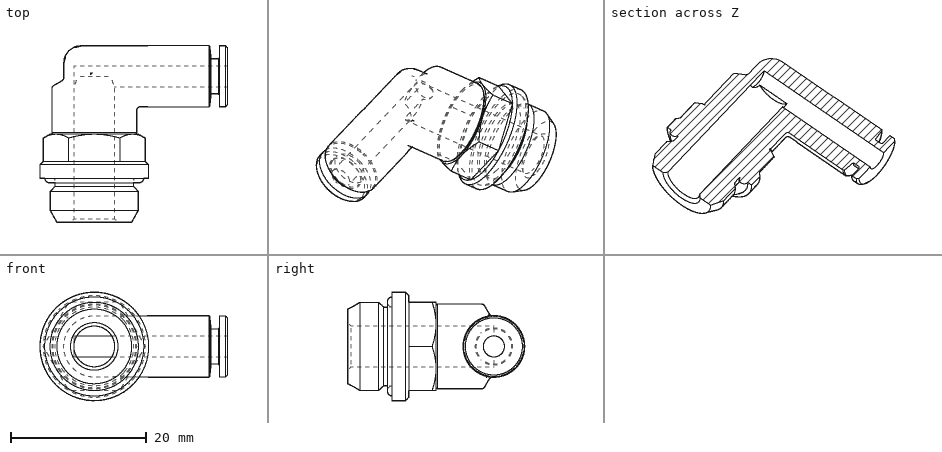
import cadquery as cq
import math


elbow_radius = 4.5
elbow_corner_fillet = 2.5
elbow_end_x = 7.75
corner_cap_height = 0.03
corner_fillet_half_height = elbow_radius - corner_cap_height

arm_radius = 4.55
arm_start_x = 8.0
arm_end_x = 17.0
arm_chamfer = 0.15
arm_face_rise = 0.2

collar_neck_radius = 2.6
collar_flange_radius = 4.5
collar_flange_start_x = 18.4
collar_end_x = 19.6
collar_flange_chamfer = 0.3
collar_root_chamfer = 0.15

body_radius = 6.25
body_taper_y = -8.3
shoulder_slope = math.tan(math.radians(30))
shoulder_top_y = -0.5
shoulder_rim_y = shoulder_top_y - (body_radius - elbow_radius) * shoulder_slope
blend_radius = 0.5
selection_margin = 0.05
body_bottom_radius = 6.1

hex_sides = 6
hex_across_flats = 13.0
hex_corner_radius = hex_across_flats / 2 / math.cos(math.pi / hex_sides)
hex_top_y = -8.5
hex_bevel_slope = math.tan(math.radians(30))

flange_radius = 8.0
flange_top_y = -12.5
flange_bottom_y = -15.0
flange_chamfer = 0.5

neck_radius = 5.8
neck_bottom_y = -16.2
ring_section_radius = 0.75
ring_center_radius = neck_radius + ring_section_radius
ring_center_y = -14.93
thread_radius = 6.5
thread_top_y = -16.95
thread_tip_start_y = -19.7
thread_tip_y = -21.5
thread_tip_radius = 5.5

stem_bore_radius = 3.0
stem_bore_chamfer = 0.5
arm_bore_radius = 1.55


def turned_about_y(points):
    """Revolve an outline of (radius, y) points about the stem axis."""
    return cq.Workplane("XY").polyline(points).close().revolve(360, (0, 0, 0), (0, 1, 0))


def turned_about_x(points):
    """Revolve an outline of (x, radius) points about the arm axis."""
    return cq.Workplane("XY").polyline(points).close().revolve(360, (0, 0, 0), (1, 0, 0))


def beside_mitre(side):
    """Triangular prism on one side of the mitre plane y = -x: +1 is the arm side, -1 the stem side."""
    size = elbow_end_x
    outline = [(-size, size), (side * size, side * size), (size, -size)]
    return cq.Workplane("XY").polyline(outline).close().extrude(size, both=True)


def make_mitred_tubes():
    """Two tubes meeting in a mitre; the stem tube ends inside the swivel body."""
    length = 2 * elbow_end_x
    arm = cq.Workplane("YZ", origin=(-elbow_end_x, 0, 0)).circle(elbow_radius).extrude(length)
    arm = arm.rotate((0, 0, 0), (1, 0, 0), 180)
    stem = cq.Workplane("XZ", origin=(0, elbow_end_x, 0)).circle(elbow_radius).extrude(length)
    return arm.intersect(beside_mitre(1)).union(stem.intersect(beside_mitre(-1)))


def make_body():
    """Swivel body with a conical shoulder, tapering in slightly where it meets the hexagon."""
    return turned_about_y(
        [
            (0, hex_top_y),
            (body_bottom_radius, hex_top_y),
            (body_radius, body_taper_y),
            (body_radius, shoulder_rim_y),
            (elbow_radius, shoulder_top_y),
            (0, shoulder_top_y),
        ]
    )


def blend_shoulder(elbow_on_body):
    """Round the shoulder rim and fill the joint between the body and the elbow."""
    reach = body_radius + selection_margin
    shoulder_edges = cq.selectors.BoxSelector(
        (-reach, -elbow_radius - selection_margin, -reach),
        (reach, shoulder_top_y + selection_margin, reach),
        boundingbox=True,
    )
    return elbow_on_body.edges(shoulder_edges).fillet(blend_radius)


def round_outer_corner(elbow, tubes):
    """Round the outer mitre edge, setting aside the thin caps where it turns smooth."""
    quadrant = cq.Workplane("XY").box(elbow_radius, elbow_radius, elbow_radius, centered=False)
    upper_block = quadrant.translate((-elbow_radius, 0, corner_fillet_half_height))
    caps = tubes.intersect(upper_block.union(upper_block.mirror("XY")))

    edge_middle = (-elbow_radius, elbow_radius, 0)
    outer_edge = cq.selectors.NearestToPointSelector(edge_middle)
    return elbow.cut(caps).edges(outer_edge).fillet(elbow_corner_fillet).union(caps)


def make_elbow():
    """Elbow and swivel body as one blended solid."""
    tubes = make_mitred_tubes()
    blended = blend_shoulder(tubes.union(make_body()))
    return round_outer_corner(blended, tubes)


def make_tube_arm():
    """Arm sleeve, slightly wider than the elbow, with the release collar at its end."""
    face_x = arm_end_x + arm_face_rise
    return turned_about_x(
        [
            (elbow_end_x, 0),
            (elbow_end_x, elbow_radius),
            (arm_start_x, arm_radius),
            (arm_end_x - arm_chamfer, arm_radius),
            (arm_end_x, arm_radius - arm_chamfer),
            (face_x, collar_neck_radius),
            (collar_flange_start_x - collar_root_chamfer, collar_neck_radius),
            (collar_flange_start_x, collar_neck_radius + collar_root_chamfer),
            (collar_flange_start_x, collar_flange_radius),
            (collar_end_x - collar_flange_chamfer, collar_flange_radius),
            (collar_end_x, collar_flange_radius - collar_flange_chamfer),
            (collar_end_x, 0),
        ]
    )


def make_hexagon():
    """Hexagon with corners on the X axis, its upper corners bevelled by a cone."""
    prism = (
        cq.Workplane("XZ", origin=(0, hex_top_y, 0))
        .polygon(hex_sides, 2 * hex_corner_radius)
        .extrude(hex_top_y - flange_top_y)
    )
    top_radius = hex_across_flats / 2
    bevel_drop = (hex_corner_radius - top_radius) * hex_bevel_slope
    envelope = turned_about_y(
        [
            (0, flange_top_y),
            (hex_corner_radius, flange_top_y),
            (hex_corner_radius, hex_top_y - bevel_drop),
            (top_radius, hex_top_y),
            (0, hex_top_y),
        ]
    )
    return prism.intersect(envelope)


def make_threaded_end():
    """Flange, neck and plain threaded end with a tapered tip."""
    return turned_about_y(
        [
            (0, flange_top_y),
            (flange_radius - flange_chamfer, flange_top_y),
            (flange_radius, flange_top_y - flange_chamfer),
            (flange_radius, flange_bottom_y),
            (neck_radius, flange_bottom_y),
            (neck_radius, neck_bottom_y),
            (thread_radius, thread_top_y),
            (thread_radius, thread_tip_start_y),
            (thread_tip_radius, thread_tip_y),
            (0, thread_tip_y),
        ]
    )


def make_sealing_ring():
    """Round ring seated around the neck, partly sunk into the flange face."""
    return (
        cq.Workplane("XY")
        .center(ring_center_radius, ring_center_y)
        .circle(ring_section_radius)
        .revolve(360, (-ring_center_radius, 0, 0), (-ring_center_radius, 1, 0))
    )


def make_stem_bore():
    """Flat-ended bore from the threaded tip to the arm axis, with a chamfered mouth."""
    return turned_about_y(
        [
            (0, 0),
            (stem_bore_radius, 0),
            (stem_bore_radius, thread_tip_y + stem_bore_chamfer),
            (stem_bore_radius + stem_bore_chamfer, thread_tip_y),
            (0, thread_tip_y),
        ]
    )


def make_arm_bore():
    """Passage along the arm, from the far side of the stem bore out through the collar."""
    start_x = -stem_bore_radius
    return cq.Workplane("YZ", origin=(start_x, 0, 0)).circle(arm_bore_radius).extrude(collar_end_x - start_x)


result = (
    make_elbow()
    .union(make_tube_arm())
    .union(make_hexagon())
    .union(make_threaded_end())
    .union(make_sealing_ring())
    .cut(make_stem_bore())
    .cut(make_arm_bore())
)